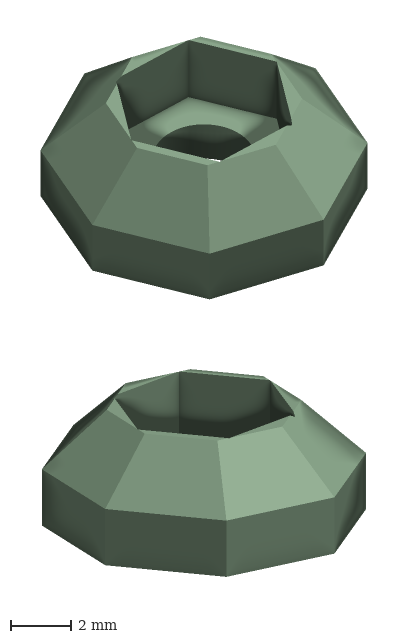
import cadquery as cq
import math

width = 10.0
height = 4.0
taper_height = 2.0

pocket_flats = 5.4
pocket_depth = 2.5
hole_diameter = 3.4


def corner_diameter(across_flats, sides):
    """Across-corners size of a regular polygon with an even number of sides."""
    return across_flats / math.cos(math.pi / sides)


def make_body():
    """Octagonal prism with flats facing X and Y, tapering at 45 degrees to the top."""
    half_side_angle = 180 / 8
    body = (
        cq.Workplane("XY")
        .transformed(rotate=(0, 0, half_side_angle))
        .polygon(8, corner_diameter(width, 8))
        .extrude(height)
    )
    return body.faces(">Z").chamfer(taper_height)


def make_pocket():
    """Hexagonal pocket, open at the top; its X corners break through the taper."""
    return (
        cq.Workplane("XY")
        .workplane(offset=height - pocket_depth)
        .polygon(6, corner_diameter(pocket_flats, 6))
        .extrude(pocket_depth)
    )


def make_hole():
    """Round hole through the whole height."""
    return cq.Workplane("XY").circle(hole_diameter / 2).extrude(height)


result = make_body().cut(make_pocket()).cut(make_hole())